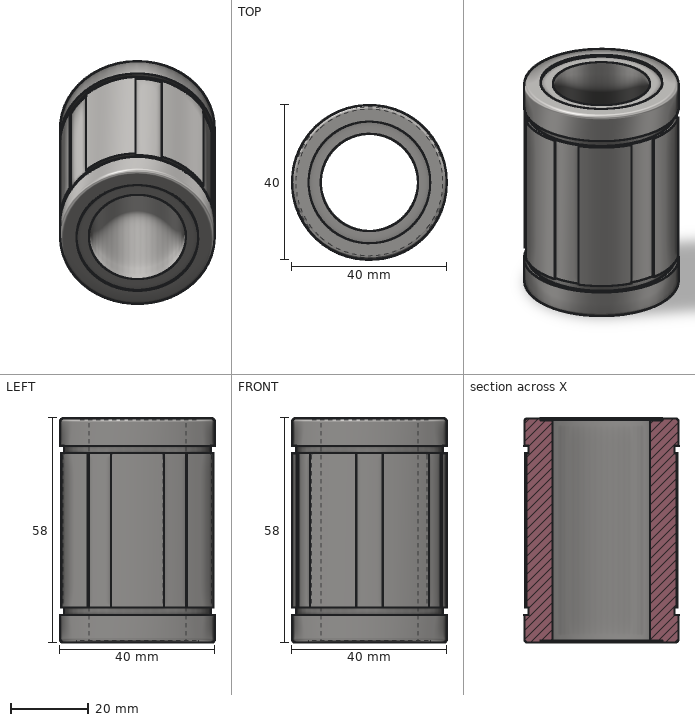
import cadquery as cq
import math

length = 58.0
outer_radius = 20.0
bore_radius = 12.5
edge_fillet = 1.0

seal_radius = 15.7
seal_depth = 0.5

ring_groove_radius = 18.95
ring_groove_width = 1.85
ring_groove_offset = 7.2

channel_count = 6
channel_floor_radius = 19.5
channel_angle = 20.0
first_channel_angle = 30.0
channel_clearance = 0.6


def tube(outer, inner, bottom, height):
    """Ring-shaped body around the Z axis."""
    return cq.Workplane("XY").workplane(offset=bottom).circle(outer).circle(inner).extrude(height)


def polar_point(radius, angle):
    """Point at the given radius and angle in degrees."""
    return (radius * math.cos(math.radians(angle)), radius * math.sin(math.radians(angle)))


def channel_cutter(mid_angle, bottom, height):
    """Ring sector with radial side walls, centred on mid_angle."""
    start = mid_angle - channel_angle / 2
    end = mid_angle + channel_angle / 2
    cutter_radius = outer_radius + channel_clearance
    return (
        cq.Workplane("XY")
        .workplane(offset=bottom)
        .moveTo(*polar_point(channel_floor_radius, start))
        .lineTo(*polar_point(cutter_radius, start))
        .threePointArc(polar_point(cutter_radius, mid_angle), polar_point(cutter_radius, end))
        .lineTo(*polar_point(channel_floor_radius, end))
        .threePointArc(
            polar_point(channel_floor_radius, mid_angle),
            polar_point(channel_floor_radius, start),
        )
        .close()
        .extrude(height)
    )


sleeve = cq.Workplane("XY").circle(outer_radius).extrude(length)
sleeve = sleeve.faces("<Z or >Z").edges().fillet(edge_fillet)
sleeve = sleeve.cut(cq.Workplane("XY").circle(bore_radius).extrude(length))

for recess_bottom in (0.0, length - seal_depth):
    sleeve = sleeve.cut(tube(seal_radius, bore_radius, recess_bottom, seal_depth))

for groove_bottom in (ring_groove_offset, length - ring_groove_offset - ring_groove_width):
    sleeve = sleeve.cut(tube(outer_radius, ring_groove_radius, groove_bottom, ring_groove_width))

channel_bottom = ring_groove_offset + ring_groove_width
channel_length = length - 2 * channel_bottom
for index in range(channel_count):
    mid_angle = first_channel_angle + index * 360.0 / channel_count
    sleeve = sleeve.cut(channel_cutter(mid_angle, channel_bottom, channel_length))

result = sleeve